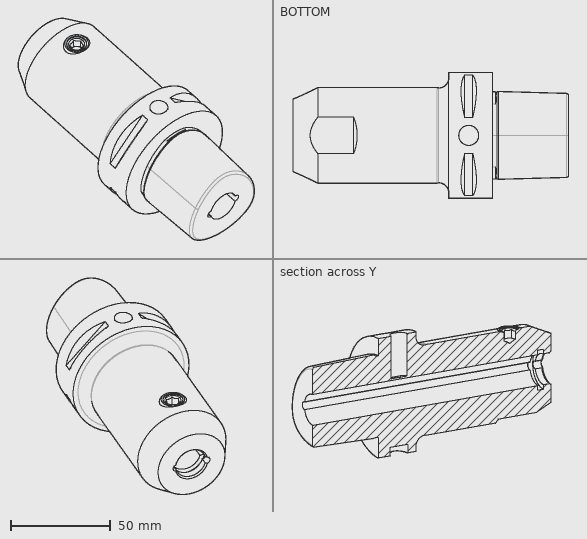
import cadquery as cq
import math


HOLDER_LENGTH = 100.0
SHANK_LENGTH = 38.0
FLANGE_WIDTH = 22.0
NOSE_X = -HOLDER_LENGTH
FLANGE_FRONT_X = -FLANGE_WIDTH

FLANGE_RADIUS = 63.0 / 2
BODY_RADIUS = 48.0 / 2
NECK_RADIUS = 47.6 / 2
NECK_FILLET = 5.0
RELIEF_LENGTH = 0.8
NOSE_CONE_LENGTH = 12.5
NOSE_CONE_ANGLE = 25.0

LOBE_MEAN_RADIUS = 22.05
LOBE_HEIGHT = 1.3
LOBE_COUNT = 3
LOBE_ANGLE = 90.0
TAPER_SLOPE = 1.0 / 36
SHANK_END_FILLET = 1.2
SEAT_NECK_LENGTH = 2.2
SEAT_NECK_RADIUS = 22.5
SEAT_NECK_STRAIGHT = 1.4
LEAD_LENGTH = 0.6
LEAD_DROP = 0.2
SPLINE_STEPS = 16

BORE_RADIUS = 16.0 / 2
BORE_MOUTH_RADIUS = 17.5 / 2
BORE_CHAMFER_LENGTH = 1.0
RELIEF_GROOVE_RADIUS = 20.8 / 2
RELIEF_GROOVE_START = 4.7
RELIEF_GROOVE_END = 7.7
CHANNEL_RADIUS = 2.0
CHANNEL_OFFSET = 8.0

SCREW_X = NOSE_X + 24.0
SCREW_RADIUS = 10.0 / 2
SCREW_TOP_Z = 23.5
COLLAR_TOP_Z = 24.05
COLLAR_TOP_RADIUS = 11.84 / 2
COLLAR_HEIGHT = 2.0
SOCKET_FLATS = 6.0
SOCKET_LEAD_RADIUS = 8.0 / 2
SOCKET_DEPTH = 5.0
SOCKET_CORNER_ANGLE = 45.0
SOCKET_TIP_HEIGHT = SOCKET_FLATS / 2 * math.tan(math.radians(30))

FLAT_Z = -22.2
FLAT_END_X = NOSE_X + 30.4

GROOVE_X = -12.0
GROOVE_ANGLES = (45, 135, 225, 315)
GROOVE_FLOOR_RADIUS = 27.7
GROOVE_FLOOR_WIDTH = 4.0
GROOVE_MOUTH_WIDTH = 7.7
MARK_HOLE_RADIUS = 9.0 / 2
MARK_HOLE_FLOOR_RADIUS = 18.38 / 2
CHIP_HOLE_RADIUS = 10.0 / 2
CHIP_HOLE_DEPTH = 4.5

CUT_MARGIN = 1.0


def x_cylinder(radius, start_x, end_x, y=0.0):
    """Cylinder along X."""
    return cq.Workplane("YZ", origin=(start_x, y, 0)).circle(radius).extrude(end_x - start_x)


def z_cylinder(radius, x, bottom_z, top_z):
    """Cylinder along Z."""
    return cq.Workplane("XY", origin=(x, 0, bottom_z)).circle(radius).extrude(top_z - bottom_z)


def turned_body():
    nose_radius = BODY_RADIUS - NOSE_CONE_LENGTH * math.tan(math.radians(NOSE_CONE_ANGLE))
    fillet_start_x = FLANGE_FRONT_X - NECK_FILLET
    fillet_middle = NECK_FILLET * math.sqrt(0.5)
    return (
        cq.Workplane("XZ")
        .moveTo(NOSE_X, 0)
        .lineTo(NOSE_X, nose_radius)
        .lineTo(NOSE_X + NOSE_CONE_LENGTH, BODY_RADIUS)
        .lineTo(fillet_start_x - RELIEF_LENGTH, BODY_RADIUS)
        .lineTo(fillet_start_x, NECK_RADIUS)
        .threePointArc(
            (fillet_start_x + fillet_middle, NECK_RADIUS + NECK_FILLET - fillet_middle),
            (FLANGE_FRONT_X, NECK_RADIUS + NECK_FILLET),
        )
        .lineTo(FLANGE_FRONT_X, FLANGE_RADIUS)
        .lineTo(0, FLANGE_RADIUS)
        .lineTo(0, 0)
        .close()
        .revolve(360, (0, 0, 0), (1, 0, 0))
    )


def lobe_point(x, mean_radius, angle):
    """Point on the lobed outline whose outward normal has the given angle in the YZ plane."""
    phase = LOBE_COUNT * (angle - math.radians(LOBE_ANGLE))
    reach = mean_radius + LOBE_HEIGHT * math.cos(phase)
    slide = -LOBE_COUNT * LOBE_HEIGHT * math.sin(phase)
    y = reach * math.cos(angle) - slide * math.sin(angle)
    z = reach * math.sin(angle) + slide * math.cos(angle)
    return cq.Vector(x, y, z)


def lobe_outline(x, mean_radius):
    """Closed outline of one smooth curve per lobe, joined midway between the lobes."""
    span = 2 * math.pi / LOBE_COUNT
    edges = []
    for lobe in range(LOBE_COUNT):
        start = math.radians(LOBE_ANGLE) + (lobe - 0.5) * span
        angles = [start + span * step / SPLINE_STEPS for step in range(SPLINE_STEPS + 1)]
        points = [lobe_point(x, mean_radius, angle) for angle in angles]
        tangents = [cq.Vector(0, -math.sin(a), math.cos(a)) for a in (angles[0], angles[-1])]
        edges.append(cq.Edge.makeSpline(points, tangents))
    return cq.Wire.assembleEdges(edges)


def lobed_solid(start_x, start_radius, end_x, end_radius):
    outlines = [lobe_outline(start_x, start_radius), lobe_outline(end_x, end_radius)]
    return cq.Workplane(cq.Solid.makeLoft(outlines, True))


def neck_limit():
    """Round envelope that trims the lobes next to the flange seat."""
    flare = SEAT_NECK_LENGTH - SEAT_NECK_STRAIGHT
    straight = x_cylinder(SEAT_NECK_RADIUS, -CUT_MARGIN, SEAT_NECK_STRAIGHT)
    cone = cq.Solid.makeCone(
        SEAT_NECK_RADIUS,
        SEAT_NECK_RADIUS + flare,
        flare,
        cq.Vector(SEAT_NECK_STRAIGHT, 0, 0),
        cq.Vector(1, 0, 0),
    )
    return straight.union(cq.Workplane(cone))


def shank():
    taper_start_x = SEAT_NECK_LENGTH + LEAD_LENGTH
    end_radius = LOBE_MEAN_RADIUS - TAPER_SLOPE * (SHANK_LENGTH - taper_start_x)
    lead_radius = LOBE_MEAN_RADIUS - LEAD_DROP
    taper = lobed_solid(taper_start_x, LOBE_MEAN_RADIUS, SHANK_LENGTH, end_radius)
    taper = taper.faces(">X").edges().fillet(SHANK_END_FILLET)
    lead = lobed_solid(SEAT_NECK_LENGTH, lead_radius, taper_start_x, LOBE_MEAN_RADIUS)
    neck = lobed_solid(-CUT_MARGIN, lead_radius, SEAT_NECK_LENGTH, lead_radius)
    neck = neck.intersect(neck_limit())
    return taper.union(lead).union(neck)


def bore():
    tool = x_cylinder(BORE_RADIUS, NOSE_X, SHANK_LENGTH)
    mouth = cq.Workplane(
        cq.Solid.makeCone(
            BORE_MOUTH_RADIUS,
            BORE_RADIUS,
            BORE_CHAMFER_LENGTH,
            cq.Vector(NOSE_X, 0, 0),
            cq.Vector(1, 0, 0),
        )
    )
    groove = x_cylinder(RELIEF_GROOVE_RADIUS, NOSE_X + RELIEF_GROOVE_START, NOSE_X + RELIEF_GROOVE_END)
    tool = tool.union(mouth).union(groove)
    for side in (-1, 1):
        tool = tool.union(x_cylinder(CHANNEL_RADIUS, NOSE_X, SHANK_LENGTH, side * CHANNEL_OFFSET))
    return tool


def screw_collar():
    """Flat-topped cone with 45 degree sides that rises out of the body around the screw."""
    cone = cq.Solid.makeCone(
        COLLAR_TOP_RADIUS + COLLAR_HEIGHT,
        COLLAR_TOP_RADIUS,
        COLLAR_HEIGHT,
        cq.Vector(SCREW_X, 0, COLLAR_TOP_Z - COLLAR_HEIGHT),
    )
    return cq.Workplane(cone)


def screw_recess():
    """Shallow counterbore that leaves the screw just below the collar top."""
    return z_cylinder(SCREW_RADIUS, SCREW_X, SCREW_TOP_Z, COLLAR_TOP_Z + CUT_MARGIN)


def screw_socket():
    """Hexagon socket with a conical lead-in and a drilled conical bottom."""
    corner_radius = SOCKET_FLATS / 2 / math.cos(math.radians(30))
    floor_z = SCREW_TOP_Z - SOCKET_DEPTH
    lead_depth = SOCKET_LEAD_RADIUS - SOCKET_FLATS / 2
    hexagon = (
        cq.Workplane("XY", origin=(SCREW_X, 0, floor_z))
        .transformed(rotate=(0, 0, SOCKET_CORNER_ANGLE))
        .polygon(6, 2 * corner_radius)
        .extrude(SOCKET_DEPTH)
    )
    down = cq.Vector(0, 0, -1)
    lead = cq.Solid.makeCone(
        SOCKET_LEAD_RADIUS, SOCKET_FLATS / 2, lead_depth, cq.Vector(SCREW_X, 0, SCREW_TOP_Z), down
    )
    tip = cq.Solid.makeCone(
        SOCKET_FLATS / 2, 0, SOCKET_TIP_HEIGHT, cq.Vector(SCREW_X, 0, floor_z), down
    )
    return hexagon.union(cq.Workplane(lead)).union(cq.Workplane(tip))


def nose_flat():
    """Flat under the nose, running out through a 45 degree ramp."""
    drop = BODY_RADIUS - abs(FLAT_Z) + CUT_MARGIN
    return (
        cq.Workplane("XZ")
        .moveTo(NOSE_X - CUT_MARGIN, FLAT_Z)
        .lineTo(FLAT_END_X, FLAT_Z)
        .lineTo(FLAT_END_X + drop, FLAT_Z - drop)
        .lineTo(NOSE_X - CUT_MARGIN, FLAT_Z - drop)
        .close()
        .extrude(BODY_RADIUS, both=True)
    )


def gripper_groove(angle):
    """Straight groove across the flange rim with sloping side walls."""
    depth = FLANGE_RADIUS - GROOVE_FLOOR_RADIUS
    floor_half = GROOVE_FLOOR_WIDTH / 2
    mouth_half = GROOVE_MOUTH_WIDTH / 2
    groove = (
        cq.Workplane("XZ")
        .moveTo(GROOVE_X - floor_half, GROOVE_FLOOR_RADIUS)
        .lineTo(GROOVE_X + floor_half, GROOVE_FLOOR_RADIUS)
        .lineTo(GROOVE_X + mouth_half, GROOVE_FLOOR_RADIUS + depth)
        .lineTo(GROOVE_X - mouth_half, GROOVE_FLOOR_RADIUS + depth)
        .close()
        .extrude(FLANGE_RADIUS, both=True)
    )
    return groove.rotate((0, 0, 0), (1, 0, 0), angle)


def mark_hole():
    """Radial hole in the top of the flange, stopping on a rounded floor outside the bore."""
    core = x_cylinder(MARK_HOLE_FLOOR_RADIUS, FLANGE_FRONT_X, 0)
    return z_cylinder(MARK_HOLE_RADIUS, GROOVE_X, 0, FLANGE_RADIUS).cut(core)


def chip_hole():
    """Shallow flat-bottomed hole in the underside of the flange."""
    return z_cylinder(CHIP_HOLE_RADIUS, GROOVE_X, -FLANGE_RADIUS, -FLANGE_RADIUS + CHIP_HOLE_DEPTH)


result = turned_body().union(screw_collar()).union(shank())
result = result.cut(bore())
result = result.cut(screw_recess()).cut(screw_socket())
result = result.cut(nose_flat())
for groove_angle in GROOVE_ANGLES:
    result = result.cut(gripper_groove(groove_angle))
result = result.cut(mark_hole()).cut(chip_hole())